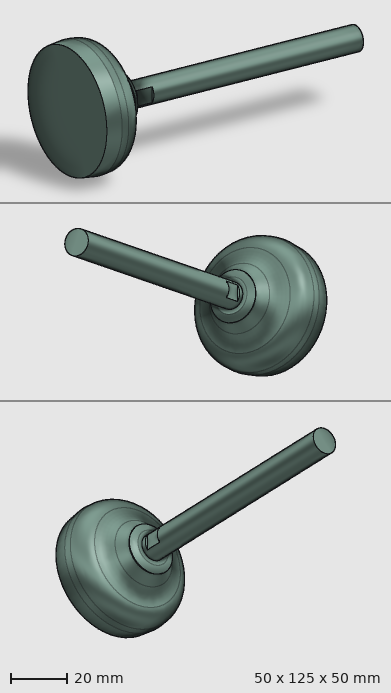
import cadquery as cq

total_length = 125.0

base_radius = 24.2
rim_radius = 25.0
rim_height = 6.1
shoulder_start_radius = 24.8
shoulder_start_height = 9.1
shoulder_mid_radius = 22.9
shoulder_mid_height = 13.5
shoulder_end_radius = 19.1
shoulder_end_height = 15.9
neck_mid_radius = 15.4
neck_mid_height = 17.4
neck_end_radius = 12.8
neck_end_height = 19.5
foot_top_radius = 9.2
foot_top_height = 23.0

collar_edge_radius = 9.6
collar_edge_height = 23.8
collar_top_radius = 6.8
collar_top_height = 25.0
collar_mid_radius = 8.4
collar_mid_height = 24.5
stem_radius = 5.0
across_flats = 8.0
flats_start = 27.0
flats_length = 7.0


def revolve_about_y(profile):
    """Turn a closed radius-height profile in the XY plane around the Y axis."""
    return profile.close().revolve(360, (0, 0, 0), (0, 1, 0))


def make_foot():
    """Solid round foot with a swollen rim and a conical neck."""
    profile = (
        cq.Workplane("XY")
        .lineTo(base_radius, 0)
        .lineTo(rim_radius, rim_height)
        .lineTo(shoulder_start_radius, shoulder_start_height)
        .threePointArc(
            (shoulder_mid_radius, shoulder_mid_height),
            (shoulder_end_radius, shoulder_end_height),
        )
        .threePointArc(
            (neck_mid_radius, neck_mid_height),
            (neck_end_radius, neck_end_height),
        )
        .lineTo(foot_top_radius, foot_top_height)
        .lineTo(0, foot_top_height)
    )
    return revolve_about_y(profile)


def make_flat_cutter(side):
    """Block that removes the stem outside one wrench flat; side is -1 or 1."""
    width = stem_radius
    center_x = side * (across_flats + width) / 2
    center_y = flats_start + flats_length / 2
    block = cq.Workplane("XY").box(width, flats_length, 2 * stem_radius)
    return block.translate((center_x, center_y, 0))


def make_spindle():
    """Stem and domed collar in one piece, seated on top of the foot."""
    profile = (
        cq.Workplane("XY")
        .moveTo(0, foot_top_height)
        .lineTo(foot_top_radius, foot_top_height)
        .lineTo(collar_edge_radius, collar_edge_height)
        .threePointArc(
            (collar_mid_radius, collar_mid_height),
            (collar_top_radius, collar_top_height),
        )
        .lineTo(stem_radius, collar_top_height)
        .lineTo(stem_radius, total_length)
        .lineTo(0, total_length)
    )
    spindle = revolve_about_y(profile)
    for side in (-1, 1):
        spindle = spindle.cut(make_flat_cutter(side))
    return spindle


foot = make_foot()
spindle = make_spindle()

result = cq.Compound.makeCompound([foot.val(), spindle.val()])